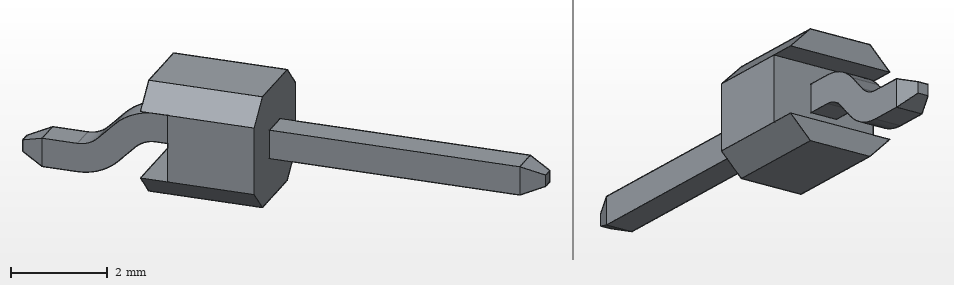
import cadquery as cq
import math

HOUSING_SIZE = 2.5
HOUSING_CHAMFER = 0.5
NOTCH_DEPTH = 0.6
NOTCH_HEIGHT = HOUSING_SIZE - 2 * HOUSING_CHAMFER

PIN_WIDTH = 0.64
PIN_HALF = PIN_WIDTH / 2
PIN_LEFT_REACH = 3.0
PIN_RIGHT_REACH = 6.0
PIN_LEFT_END = -PIN_LEFT_REACH
PIN_RIGHT_END = HOUSING_SIZE + PIN_RIGHT_REACH
TIP_LENGTH = 0.5
TIP_WIDTH = 0.4 * PIN_WIDTH

BEND_ANGLE = math.radians(45)
BEND_INNER_RADIUS = PIN_WIDTH
BEND_RADIUS = BEND_INNER_RADIUS + PIN_HALF
FOOT_DROP = HOUSING_SIZE / 2 - PIN_HALF
BEND_RUN = BEND_RADIUS * math.sin(BEND_ANGLE)
BEND_DROP = BEND_RADIUS * (1 - math.cos(BEND_ANGLE))
SLOPE_DROP = FOOT_DROP - 2 * BEND_DROP
SLOPE_RUN = SLOPE_DROP / math.tan(BEND_ANGLE)
UPPER_BEND_START = 0.0
LOWER_BEND_END = UPPER_BEND_START - 2 * BEND_RUN - SLOPE_RUN


def make_housing():
    """Octagonal block, notched across its left end, with a square hole for the pin."""
    block = (
        cq.Workplane("YZ")
        .rect(HOUSING_SIZE, HOUSING_SIZE)
        .extrude(HOUSING_SIZE)
        .edges("|X")
        .chamfer(HOUSING_CHAMFER)
    )
    notch = cq.Workplane("YZ").rect(HOUSING_SIZE, NOTCH_HEIGHT).extrude(NOTCH_DEPTH)
    pin_hole = cq.Workplane("YZ").rect(PIN_WIDTH, PIN_WIDTH).extrude(HOUSING_SIZE)
    return block.cut(notch).cut(pin_hole)


def make_tip(base_x, level, end_x):
    """Tapered pin end from the full section at base_x to the small face at end_x."""
    return (
        cq.Workplane("YZ", origin=(base_x, 0, level))
        .rect(PIN_WIDTH, PIN_WIDTH)
        .workplane(offset=end_x - base_x)
        .rect(TIP_WIDTH, TIP_WIDTH)
        .loft(ruled=True)
    )


def make_pin():
    """Square wire swept along its bent centre line, with a tapered tip at each end."""
    shank_end = PIN_RIGHT_END - TIP_LENGTH
    foot_end = PIN_LEFT_END + TIP_LENGTH
    half_bend_run = BEND_RADIUS * math.sin(BEND_ANGLE / 2)
    half_bend_drop = BEND_RADIUS * (1 - math.cos(BEND_ANGLE / 2))
    slope_top = (UPPER_BEND_START - BEND_RUN, -BEND_DROP)
    slope_bottom = (LOWER_BEND_END + BEND_RUN, BEND_DROP - FOOT_DROP)
    centre_line = (
        cq.Workplane("XZ")
        .moveTo(shank_end, 0)
        .lineTo(UPPER_BEND_START, 0)
        .threePointArc((UPPER_BEND_START - half_bend_run, -half_bend_drop), slope_top)
        .lineTo(*slope_bottom)
        .threePointArc(
            (LOWER_BEND_END + half_bend_run, half_bend_drop - FOOT_DROP),
            (LOWER_BEND_END, -FOOT_DROP),
        )
        .lineTo(foot_end, -FOOT_DROP)
    )
    wire = cq.Workplane("YZ", origin=(shank_end, 0, 0)).rect(PIN_WIDTH, PIN_WIDTH).sweep(centre_line)
    right_tip = make_tip(shank_end, 0, PIN_RIGHT_END)
    left_tip = make_tip(foot_end, -FOOT_DROP, PIN_LEFT_END)
    return wire.union(right_tip).union(left_tip)


housing = make_housing()
pin = make_pin()
result = cq.Compound.makeCompound([housing.solids().val(), pin.solids().val()])